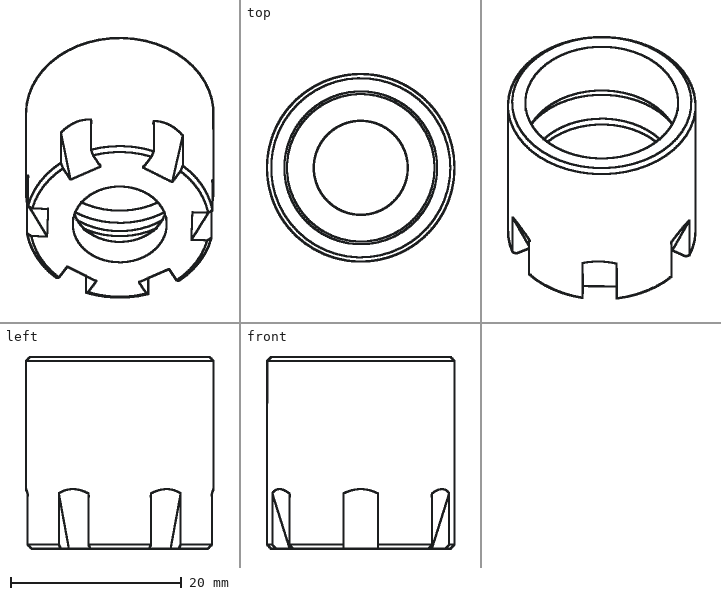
import cadquery as cq
import math

outer_diameter = 22.0
height = 22.5
end_chamfer = 0.5

entry_diameter = 17.92
entry_depth = 7.5
relief_diameter = 19.3
flare_angle = 25.0
relief_floor_depth = 12.0
relief_floor_fillet = 0.4
mouth_diameter = 17.29
mouth_depth = 1.0
cone_angle = 30.0
through_diameter = 11.0

slot_count = 6
slot_width = 4.0
slot_height = 7.0
slot_floor_angle = 20.0
first_slot_angle = 30.0
slot_overrun = 1.0


def run_along_axis(radial_change, angle_from_axis):
    """Axial length over which a sloped face gains the given radial change."""
    return radial_change / math.tan(math.radians(angle_from_axis))


def make_body():
    body = cq.Workplane("XY").circle(outer_diameter / 2).extrude(height)
    return body.faces("<Z or >Z").chamfer(end_chamfer)


def make_bore():
    """Solid of revolution that fills the whole bore."""
    entry_radius = entry_diameter / 2
    relief_radius = relief_diameter / 2
    mouth_radius = mouth_diameter / 2
    through_radius = through_diameter / 2

    entry_end_z = height - entry_depth
    flare_end_z = entry_end_z - run_along_axis(relief_radius - entry_radius, flare_angle)
    relief_floor_z = height - relief_floor_depth
    cone_start_z = relief_floor_z - mouth_depth
    cone_end_z = cone_start_z - run_along_axis(mouth_radius - through_radius, cone_angle)

    fillet_start_z = relief_floor_z + relief_floor_fillet
    fillet_end_radius = relief_radius - relief_floor_fillet
    fillet_sagitta = relief_floor_fillet * (1 - math.sqrt(0.5))
    fillet_middle = (relief_radius - fillet_sagitta, relief_floor_z + fillet_sagitta)

    profile = (
        cq.Workplane("XZ")
        .moveTo(0, height)
        .lineTo(entry_radius, height)
        .lineTo(entry_radius, entry_end_z)
        .lineTo(relief_radius, flare_end_z)
        .lineTo(relief_radius, fillet_start_z)
        .threePointArc(fillet_middle, (fillet_end_radius, relief_floor_z))
        .lineTo(mouth_radius, relief_floor_z)
        .lineTo(mouth_radius, cone_start_z)
        .lineTo(through_radius, cone_end_z)
        .lineTo(through_radius, 0)
        .lineTo(0, 0)
        .close()
    )
    return profile.revolve(360, (0, 0, 0), (0, 1, 0))


def make_slot(direction_angle):
    """Wedge cutter whose floor leaves the outer surface at the slot height."""
    outer_radius = outer_diameter / 2
    floor_slope = math.tan(math.radians(slot_floor_angle))
    bottom_radius = outer_radius - slot_height * floor_slope
    far_radius = outer_radius + slot_overrun
    far_height = slot_height + run_along_axis(slot_overrun, slot_floor_angle)

    wedge = (
        cq.Workplane("XZ")
        .polyline([(bottom_radius, 0), (far_radius, 0), (far_radius, far_height)])
        .close()
        .extrude(slot_width / 2, both=True)
    )
    return wedge.rotate((0, 0, 0), (0, 0, 1), direction_angle)


result = make_body().cut(make_bore())
for index in range(slot_count):
    slot_direction = first_slot_angle + index * 360 / slot_count
    result = result.cut(make_slot(slot_direction))